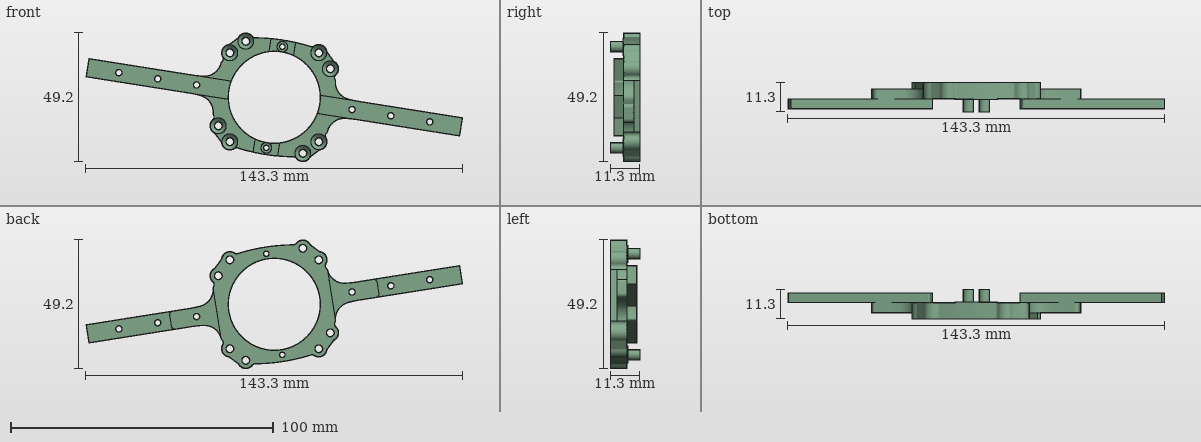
import cadquery as cq
import math

OVERALL_LENGTH = 143.3
TOLERANCE = 0.0001
TILT = 9.0

RING_DEPTH = 6.3
BORE_RADIUS = 17.5
SIDE_DISTANCE = 22.0
SIDE_HALF_LENGTH = 9.9
CROWN_END_X = 12.9
CROWN_END_Z = 20.9

BOLT_RADIUS = 24.0
DIAGONAL = 45.0
PAIR_HALF_ANGLE = 9.0
BOSS_RADIUS = 3.2
BOSS_ROOT_RADIUS = 1.5
PAIR_EDGE_DISTANCE = 26.4
SINK_DIAMETER = 6.0
SCREW_HOLE_DIAMETER = 2.9
SINK_DEPTH = (SINK_DIAMETER - SCREW_HOLE_DIAMETER) / 2

ARM_WIDTH = 7.0
ARM_FRONT = 10.0
ARM_INNER_RADIUS = 0.7
ARM_HOLE_DIAMETER = 2.3
FIRST_ARM_HOLE = 30.0
ARM_HOLE_PITCH = FIRST_ARM_HOLE / 2
ARM_HOLE_COUNT = 3
TAB_BACK = 2.5
TAB_REACH = 40.0
TAB_CORNER_RADIUS = 1.5
WEB_START_X = 32.0
WEB_BEND_X = 27.7
WEB_BEND_RISE = 0.3

PIN_DISTANCE = 19.5
PIN_DIAMETER = 4.0
PIN_HOLE_DIAMETER = 2.0
PIN_FRONT = 11.3
PAD_WIDTH = 9.5
PAD_HEIGHT = 0.3

tilt = math.radians(TILT)
arm_half = ARM_WIDTH / 2
arm_reach = (OVERALL_LENGTH - ARM_WIDTH * math.sin(tilt)) / (2 * math.cos(tilt))


def at_depth(depth):
    """Sketch plane facing -Y at the given distance in front of the back face."""
    return cq.Workplane("XZ", origin=(0, -depth, 0))


def bore():
    """The central opening as a cylinder through the whole depth."""
    return at_depth(0).circle(BORE_RADIUS).extrude(PIN_FRONT)


def polar(radius, angle):
    """Sketch coordinates at a radius and an angle in degrees."""
    return radius * math.cos(math.radians(angle)), radius * math.sin(math.radians(angle))


boss_centres = [
    polar(BOLT_RADIUS, diagonal + side * PAIR_HALF_ANGLE)
    for diagonal in (DIAGONAL + 90 * quarter for quarter in range(4))
    for side in (-1, 1)
]


def ring_quadrant():
    """One quarter of the solid ring blank, out to the edge joining its two bosses."""
    low = polar(BOLT_RADIUS, DIAGONAL - PAIR_HALF_ANGLE)
    high = polar(BOLT_RADIUS, DIAGONAL + PAIR_HALF_ANGLE)
    edge_offset = PAIR_EDGE_DISTANCE - BOLT_RADIUS * math.cos(math.radians(PAIR_HALF_ANGLE))
    shift_x, shift_z = polar(edge_offset, DIAGONAL)
    crown_rise = SIDE_DISTANCE - CROWN_END_Z
    crown_radius = (CROWN_END_X**2 + crown_rise**2) / (2 * crown_rise)
    return (
        at_depth(0)
        .lineTo(SIDE_DISTANCE, 0)
        .lineTo(SIDE_DISTANCE, SIDE_HALF_LENGTH)
        .lineTo(*low)
        .lineTo(low[0] + shift_x, low[1] + shift_z)
        .lineTo(high[0] + shift_x, high[1] + shift_z)
        .lineTo(*high)
        .lineTo(CROWN_END_X, CROWN_END_Z)
        .radiusArc((0, SIDE_DISTANCE), -crown_radius)
        .close()
        .extrude(RING_DEPTH)
    )


def upper_ring_half():
    """Upper half of the ring blank, without bosses or bore."""
    quadrant = ring_quadrant()
    return quadrant.union(quadrant.mirror("YZ"))


def is_boss_root(edge):
    """True for an edge where a boss wall meets the ring blank."""
    place = edge.Center()
    return any(
        abs(math.hypot(place.x - x, place.z - z) - BOSS_RADIUS) < TOLERANCE for x, z in boss_centres
    )


def ring():
    """Ring blank with its bosses, before the bore and holes are cut."""
    half = upper_ring_half()
    bosses = at_depth(0).pushPoints(boss_centres).circle(BOSS_RADIUS).extrude(RING_DEPTH)
    blank = half.union(half.mirror("XY")).union(bosses)
    roots = blank.edges("|Y").filter(is_boss_root)
    return blank.newObject(roots.vals()).fillet(BOSS_ROOT_RADIUS)


def web():
    """Concave blends from both edges of the right-hand tab to the ring side."""
    bend = (WEB_BEND_X, arm_half + WEB_BEND_RISE)
    ring_corner = (SIDE_DISTANCE, SIDE_HALF_LENGTH)
    upper = (
        at_depth(TAB_BACK)
        .moveTo(TAB_REACH - TAB_CORNER_RADIUS, arm_half)
        .lineTo(WEB_START_X, arm_half)
        .tangentArcPoint(bend, relative=False)
        .tangentArcPoint(ring_corner, relative=False)
        .lineTo(SIDE_DISTANCE, 0)
        .lineTo(TAB_REACH - TAB_CORNER_RADIUS, 0)
        .close()
        .extrude(RING_DEPTH - TAB_BACK)
    )
    return upper.union(upper.mirror("XY"))


def right_arm():
    """Arm with its holes, and the rounded tab behind it."""
    arm = at_depth(RING_DEPTH).rect(arm_reach, ARM_WIDTH).extrude(ARM_FRONT - RING_DEPTH)
    arm = arm.translate((arm_reach / 2, 0, 0)).cut(bore())
    arm = arm.edges("|Y and <X").fillet(ARM_INNER_RADIUS)
    tab = at_depth(TAB_BACK).rect(TAB_REACH, ARM_WIDTH).extrude(RING_DEPTH - TAB_BACK)
    tab = tab.translate((TAB_REACH / 2, 0, 0)).edges("|Y and >X").fillet(TAB_CORNER_RADIUS)
    hole_places = [(FIRST_ARM_HOLE + i * ARM_HOLE_PITCH, 0) for i in range(ARM_HOLE_COUNT)]
    holes = at_depth(0).pushPoints(hole_places).circle(ARM_HOLE_DIAMETER / 2).extrude(ARM_FRONT)
    return arm.union(tab).union(web()).cut(holes)


def upper_pin():
    """Pin standing on a low pad across the ring."""
    pad_limits = at_depth(RING_DEPTH).rect(PAD_WIDTH, 2 * SIDE_DISTANCE).extrude(PAD_HEIGHT)
    pad = upper_ring_half().translate((0, -PAD_HEIGHT, 0)).intersect(pad_limits)
    pin_length = PIN_FRONT - RING_DEPTH
    pin = at_depth(RING_DEPTH).center(0, PIN_DISTANCE).circle(PIN_DIAMETER / 2).extrude(pin_length)
    return pad.union(pin)


def pin_holes():
    """Holes through both pins and the ring behind them."""
    places = [(0, PIN_DISTANCE), (0, -PIN_DISTANCE)]
    return at_depth(0).pushPoints(places).circle(PIN_HOLE_DIAMETER / 2).extrude(PIN_FRONT)


def screw_holes():
    """Through holes with a conical sink at the front of every boss."""
    holes = at_depth(0).pushPoints(boss_centres).circle(SCREW_HOLE_DIAMETER / 2).extrude(RING_DEPTH)
    for x, z in boss_centres:
        sink = cq.Solid.makeCone(
            SINK_DIAMETER / 2,
            SCREW_HOLE_DIAMETER / 2,
            SINK_DEPTH,
            cq.Vector(x, -RING_DEPTH, z),
            cq.Vector(0, 1, 0),
        )
        holes = holes.union(cq.Workplane(sink))
    return holes


def both_ends(feature):
    """The feature and its copy turned half a turn about the bore axis."""
    return feature.union(feature.rotate((0, 0, 0), (0, 1, 0), 180))


body = ring().union(both_ends(right_arm())).union(both_ends(upper_pin()))
body = body.cut(bore())
body = body.cut(pin_holes()).cut(screw_holes())

result = body.rotate((0, 0, 0), (0, 1, 0), TILT)